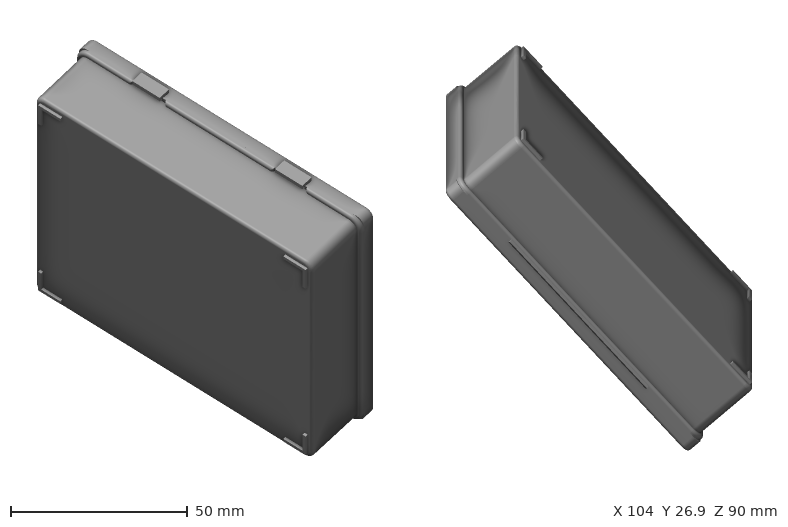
import cadquery as cq


LID_WIDTH = 104.0
LID_HEIGHT = 87.6
LID_DEPTH = 4.6
LID_CORNER = 3.0
EDGE_FILLET = 0.9
LID_TOP = LID_HEIGHT / 2

CLIP_SPACING = 52.0
CLIP_WIDTH = 10.0
CLIP_RISE = 1.5
CLIP_BACK = 2.2
CLIP_FRONT = -2.0
CLIP_RELIEF = 0.3

HINGE_LENGTH = 58.5
HINGE_WIDTH = 1.1
HINGE_DROP = 0.9

TRAY_DEPTH = 21.4
RIM_DEPTH = 1.5
RIM_OVERHANG = 1.5
WALL_WIDTH = LID_WIDTH - 2 * RIM_OVERHANG
WALL_HEIGHT = LID_HEIGHT - 2 * RIM_OVERHANG
WALL_LEAN = 0.2
FLOOR_HEIGHT = WALL_HEIGHT - 2 * WALL_LEAN
WALL_CORNER = 3.0
RIM_CORNER = WALL_CORNER + RIM_OVERHANG
FLOOR_FILLET = 1.0

GAP_INNER = 19.9
GAP_OUTER = 31.6
GAP_STRIP = RIM_DEPTH - EDGE_FILLET
GAP_CUT = 2 * RIM_OVERHANG
SLOT_WIDTH = 9.0

FOOT_SPAN_X = 97.5
FOOT_SPAN_Z = 80.3
FOOT_LENGTH = 8.1
FOOT_WIDTH = 1.1
FOOT_HEIGHT = 0.9


def block(x_range, y_range, z_range):
    """Box between two limits along each axis."""
    limits = (x_range, y_range, z_range)
    size = [max(limit) - min(limit) for limit in limits]
    return cq.Workplane("XY").box(*size, centered=False).translate(tuple(min(limit) for limit in limits))


def rounded_plate(width, height, corner, depth):
    """Plate with rounded corners, running from Y = 0 toward -Y."""
    outline = cq.Sketch().rect(width, height).vertices().fillet(corner)
    return cq.Workplane("XZ").placeSketch(outline).extrude(depth)


def make_clip(center_x):
    """Snap clip reaching over the rim, relieved underneath so that its lip hangs in front."""
    sides = (center_x - CLIP_WIDTH / 2, center_x + CLIP_WIDTH / 2)
    body = block(sides, (CLIP_FRONT, CLIP_BACK), (LID_TOP, LID_TOP + CLIP_RISE))
    relief = block(sides, (-RIM_DEPTH, 0), (LID_TOP, LID_TOP + CLIP_RELIEF))
    return body.cut(relief)


def make_hinge_bead():
    """V-shaped bead along the parting plane, below the lid."""
    return (
        cq.Workplane("YZ", origin=(-HINGE_LENGTH / 2, 0, -LID_TOP))
        .moveTo(-HINGE_WIDTH / 2, 0)
        .lineTo(HINGE_WIDTH / 2, 0)
        .lineTo(0, -HINGE_DROP)
        .close()
        .extrude(HINGE_LENGTH)
    )


def make_lid():
    lid = rounded_plate(LID_WIDTH, LID_HEIGHT, LID_CORNER, LID_DEPTH).translate((0, LID_DEPTH, 0))
    lid = lid.faces(">Y").edges().fillet(EDGE_FILLET)
    for side in (-1, 1):
        lid = lid.union(make_clip(side * CLIP_SPACING / 2))
    return lid.union(make_hinge_bead())


def make_rim():
    """Rim plate with a rounded front edge, cut back under each clip to a slotted strip."""
    rim = rounded_plate(LID_WIDTH, LID_HEIGHT, RIM_CORNER, RIM_DEPTH)
    cut_heights = (LID_TOP - GAP_CUT, LID_TOP)
    for side in (-1, 1):
        gap_sides = (side * GAP_INNER, side * GAP_OUTER)
        rim = rim.cut(block(gap_sides, (-RIM_DEPTH, 0), cut_heights))
    rim = rim.faces("<Y").edges().fillet(EDGE_FILLET)
    rim = rim.union(rounded_plate(LID_WIDTH, LID_HEIGHT, RIM_CORNER, GAP_STRIP))
    for side in (-1, 1):
        slot_center = side * CLIP_SPACING / 2
        slot_sides = (slot_center - SLOT_WIDTH / 2, slot_center + SLOT_WIDTH / 2)
        rim = rim.cut(block(slot_sides, (-GAP_STRIP, 0), cut_heights))
    return rim


def make_foot(side_x, side_z):
    """L-shaped foot with its outer corner toward the given corner of the floor."""
    outer_x = side_x * FOOT_SPAN_X / 2
    outer_z = side_z * FOOT_SPAN_Z / 2
    heights = (-TRAY_DEPTH - FOOT_HEIGHT, -TRAY_DEPTH)
    along_x = block(
        (outer_x, outer_x - side_x * FOOT_LENGTH), heights, (outer_z, outer_z - side_z * FOOT_WIDTH)
    )
    along_z = block(
        (outer_x, outer_x - side_x * FOOT_WIDTH), heights, (outer_z, outer_z - side_z * FOOT_LENGTH)
    )
    return along_x.union(along_z)


def make_tray():
    opening = cq.Sketch().rect(WALL_WIDTH, WALL_HEIGHT).vertices().fillet(WALL_CORNER)
    floor = cq.Sketch().rect(WALL_WIDTH, FLOOR_HEIGHT).vertices().fillet(WALL_CORNER)
    tray = cq.Workplane("XZ").placeSketch(opening, floor.moved(z=TRAY_DEPTH)).loft()
    tray = tray.faces("<Y").edges().fillet(FLOOR_FILLET)
    tray = tray.union(make_rim())
    for side_x in (-1, 1):
        for side_z in (-1, 1):
            tray = tray.union(make_foot(side_x, side_z))
    return tray


lid = make_lid()
tray = make_tray()
result = cq.Compound.makeCompound([lid.solids().val(), tray.solids().val()])